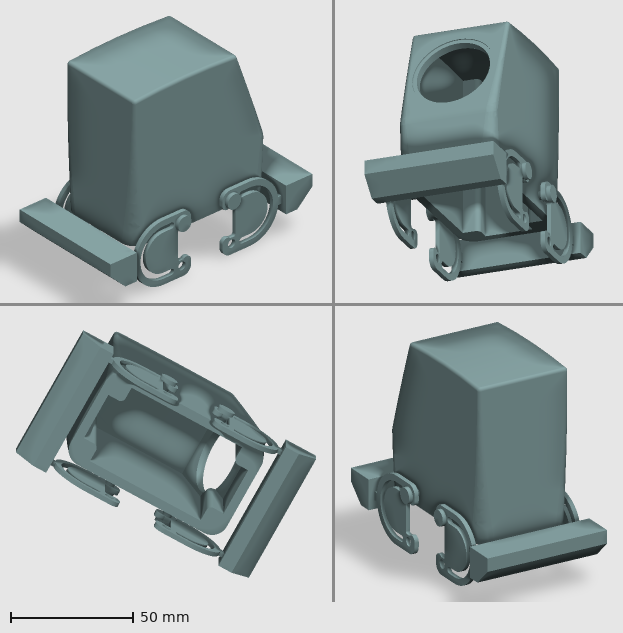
import cadquery as cq
import math

HOOD_WIDTH = 42.8
HOOD_LENGTH = 73.0
HOOD_HEIGHT = 71.6
WALL = 3.8
DRAFT_ANGLE = 0.8
SLOPE_ANGLE = 20
KINK_HEIGHT = 26.2
KINK_RADIUS = 9.2
CROWN_RADIUS = 327
CROWN_Y = -6.3
TOP_RADIUS = 1.4
BOTTOM_CORNER_RADIUS = 6.9

POST_X = 10.4
POST_Y = 25.8
POST_RADIUS = 2.2

ENTRY_HEIGHT = 48.1
ENTRY_RADIUS = 16.0
ENTRY_SEAT_RADIUS = 17.9
ENTRY_SEAT_DEPTH = 0.4

LEVER_Z = -4.6
PLATE_OUTER_X = 25.6
PLATE_THICKNESS = 2.0
PLATE_ARC_Y = 23.2
PLATE_ARC_RADIUS = 15.5
PLATE_EDGE_Y = 15.5
PLATE_EDGE_RADIUS = 1.0
HOOK_END_Y = 8.5
HOOK_CORNER_RADIUS = 4.1
HOOK_TIP_RADIUS = 2.4
HOOK_TIP_RISE = 0.8
HOOK_WIDTH = 8.0
SLOT_RADIUS = 11.1
SLOT_WIDTH = 2.9
SLOT_END_Y = 19.1

PIN_Y = 13.4
PIN_OFFSET = 10.5
PIN_RADIUS = 2.0
PIN_HEAD_RADIUS = 3.6
PIN_HEAD_HEIGHT = 1.9

BAR_WIDTH = 57.0
BAR_OUTER_Y = 54.5
BAR_INNER_Y = 40.3
BAR_TOP = 8.0
BAR_BOTTOM = -5.8
BAR_CHAMFER_TOP = 2.0
BAR_CHAMFER_Y = 46.4
TAB_HEIGHT = 3.9

DRAFT = math.tan(math.radians(DRAFT_ANGLE))
SLOPE = math.tan(math.radians(SLOPE_ANGLE))
OVERLAP = 1.1
OVERCUT = 2.2
SELECT_MARGIN = 1.1


def corner_radius(z):
    """Radius of the upright hood corners at height z, falling off as a parabola."""
    widening = BOTTOM_CORNER_RADIUS - TOP_RADIUS
    return TOP_RADIUS + widening * (1 - z / HOOD_HEIGHT) ** 2


def front_y(z):
    return -HOOD_LENGTH / 2 + z * DRAFT


def rear_y(z):
    drafted = min(z, KINK_HEIGHT) * DRAFT
    sloped = max(z - KINK_HEIGHT, 0) * SLOPE
    return HOOD_LENGTH / 2 - drafted - sloped


def crowned_block(inset):
    """Square-cornered hood with all walls and the top moved inward by inset."""
    slope_inset = inset / math.cos(math.radians(SLOPE_ANGLE))
    kink_z = KINK_HEIGHT - (slope_inset - inset) / (SLOPE - DRAFT)
    block = (
        cq.Workplane("YZ")
        .polyline([
            (front_y(0) + inset, 0),
            (rear_y(0) - inset, 0),
            (rear_y(kink_z) - inset, kink_z),
            (rear_y(HOOD_HEIGHT) - slope_inset, HOOD_HEIGHT),
            (front_y(HOOD_HEIGHT) + inset, HOOD_HEIGHT),
        ])
        .close()
        .extrude(HOOD_WIDTH / 2 - inset, both=True)
    )
    crown = (
        cq.Workplane("YZ", origin=(0, CROWN_Y, HOOD_HEIGHT - CROWN_RADIUS))
        .circle(CROWN_RADIUS - inset)
        .extrude(HOOD_WIDTH, both=True)
    )
    return block.intersect(crown)


def corner_section(z, wall_y, x_sign, y_sign):
    """Level outline of the waste outside one rounded corner at height z."""
    radius = corner_radius(z)
    side_x = x_sign * HOOD_WIDTH / 2
    centre_x = side_x - x_sign * radius
    centre_y = wall_y - y_sign * radius
    diagonal = radius * math.sqrt(0.5)
    past_x = side_x + x_sign * OVERCUT
    past_y = wall_y + y_sign * OVERCUT
    outline = (
        cq.Workplane("XY", origin=(0, 0, z))
        .moveTo(side_x, centre_y)
        .threePointArc(
            (centre_x + x_sign * diagonal, centre_y + y_sign * diagonal),
            (centre_x, wall_y),
        )
        .lineTo(centre_x, past_y)
        .lineTo(past_x, past_y)
        .lineTo(past_x, centre_y)
        .close()
    )
    return outline.val()


def corner_cutter(wall, low, high, x_sign, y_sign):
    heights = (low, (low + high) / 2, high)
    sections = [corner_section(z, wall(z), x_sign, y_sign) for z in heights]
    return cq.Solid.makeLoft(sections)


def rounded_hood():
    body = crowned_block(0)
    for x_sign in (-1, 1):
        body = body.cut(cq.Workplane(corner_cutter(front_y, 0, HOOD_HEIGHT, x_sign, -1)))
        body = body.cut(cq.Workplane(corner_cutter(rear_y, 0, KINK_HEIGHT, x_sign, 1)))
        body = body.cut(cq.Workplane(corner_cutter(rear_y, KINK_HEIGHT, HOOD_HEIGHT, x_sign, 1)))

    kink_edges = cq.selectors.BoxSelector(
        (-HOOD_WIDTH, 0, KINK_HEIGHT - SELECT_MARGIN),
        (HOOD_WIDTH, HOOD_LENGTH, KINK_HEIGHT + SELECT_MARGIN),
    )
    body = body.edges(kink_edges).fillet(KINK_RADIUS)

    top_edges = cq.selectors.BoxSelector(
        (-HOOD_WIDTH, -HOOD_LENGTH, HOOD_HEIGHT - 2 * TOP_RADIUS),
        (HOOD_WIDTH, HOOD_LENGTH, HOOD_HEIGHT + TOP_RADIUS),
    )
    return body.edges(top_edges).fillet(TOP_RADIUS)


def cavity():
    """Space inside the hood, leaving a post in each corner."""
    space = crowned_block(WALL)
    post = (
        cq.Workplane("XY")
        .box(HOOD_WIDTH, HOOD_LENGTH, HOOD_HEIGHT, centered=False)
        .edges("|Z and <X and <Y")
        .fillet(POST_RADIUS)
        .translate((POST_X, POST_Y, 0))
    )
    rear_posts = post.union(post.mirror("YZ"))
    return space.cut(rear_posts).cut(rear_posts.mirror("XZ"))


def cable_entry():
    """Stepped round cutter square to the sloped wall."""
    slope = math.radians(SLOPE_ANGLE)
    face = cq.Plane(
        origin=(0, rear_y(ENTRY_HEIGHT), ENTRY_HEIGHT),
        xDir=(1, 0, 0),
        normal=(0, math.cos(slope), math.sin(slope)),
    )
    seat = cq.Workplane(face).circle(ENTRY_SEAT_RADIUS).extrude(-ENTRY_SEAT_DEPTH)
    bore_depth = HOOD_LENGTH / 2
    return seat.union(cq.Workplane(face).circle(ENTRY_RADIUS).extrude(-bore_depth))


def plate_outline(plane):
    """Lever plate: a round outer end and two mirrored hooks facing each other."""
    side = PLATE_ARC_RADIUS
    floor = side - HOOK_WIDTH
    tip_z = floor - HOOK_TIP_RISE + HOOK_TIP_RADIUS
    tip_y = HOOK_END_Y + HOOK_TIP_RADIUS
    tip_start_y = tip_y + math.sqrt(HOOK_TIP_RADIUS ** 2 - (tip_z - floor) ** 2)
    edge_start_y = PLATE_EDGE_Y - PLATE_EDGE_RADIUS
    edge_bow = PLATE_EDGE_RADIUS * (1 - math.sqrt(0.5))
    corner_bow = HOOK_CORNER_RADIUS * (1 - math.sqrt(0.5))
    return (
        plane
        .moveTo(PLATE_EDGE_Y, 0)
        .lineTo(PLATE_EDGE_Y, floor - PLATE_EDGE_RADIUS)
        .threePointArc((PLATE_EDGE_Y - edge_bow, floor - edge_bow), (edge_start_y, floor))
        .lineTo(tip_start_y, floor)
        .threePointArc((tip_y, tip_z - HOOK_TIP_RADIUS), (HOOK_END_Y, tip_z))
        .lineTo(HOOK_END_Y, side - HOOK_CORNER_RADIUS)
        .threePointArc(
            (HOOK_END_Y + corner_bow, side - corner_bow),
            (HOOK_END_Y + HOOK_CORNER_RADIUS, side),
        )
        .lineTo(PLATE_ARC_Y, side)
        .threePointArc(
            (PLATE_ARC_Y + side * math.sqrt(0.5), side * math.sqrt(0.5)),
            (PLATE_ARC_Y + side, 0),
        )
        .close()
    )


def slot_outline(plane):
    """C-shaped slot following the plate's round end."""
    outer = SLOT_RADIUS + SLOT_WIDTH / 2
    inner = SLOT_RADIUS - SLOT_WIDTH / 2
    end_y = SLOT_END_Y - SLOT_WIDTH / 2
    return (
        plane
        .moveTo(SLOT_END_Y, outer)
        .lineTo(PLATE_ARC_Y, outer)
        .threePointArc((PLATE_ARC_Y + outer, 0), (PLATE_ARC_Y, -outer))
        .lineTo(SLOT_END_Y, -outer)
        .threePointArc((end_y, -SLOT_RADIUS), (SLOT_END_Y, -inner))
        .lineTo(PLATE_ARC_Y, -inner)
        .threePointArc((PLATE_ARC_Y + inner, 0), (PLATE_ARC_Y, inner))
        .lineTo(SLOT_END_Y, inner)
        .threePointArc((end_y, SLOT_RADIUS), (SLOT_END_Y, outer))
        .close()
    )


def lever_plane(x):
    """Upright plane at x with its origin level with the levers' line of symmetry."""
    return cq.Workplane("YZ", origin=(x, 0, LEVER_Z))


def lever_side():
    """Plate, neck and pin on the +X side of the rear lever."""
    plane = lever_plane(PLATE_OUTER_X - PLATE_THICKNESS)
    upper_half = plate_outline(plane).extrude(PLATE_THICKNESS)
    plate = upper_half.union(upper_half.mirror("XY", (0, 0, LEVER_Z)))

    tab_start = PLATE_ARC_Y + PLATE_ARC_RADIUS - OVERLAP
    tab_end = BAR_INNER_Y + OVERLAP
    tab = (
        plane.center((tab_start + tab_end) / 2, 0)
        .rect(tab_end - tab_start, TAB_HEIGHT)
        .extrude(PLATE_THICKNESS)
    )
    free_hole = plane.center(PIN_Y, -PIN_OFFSET).circle(PIN_RADIUS).extrude(PLATE_THICKNESS)
    slot = slot_outline(plane).extrude(PLATE_THICKNESS)

    pin_start = HOOD_WIDTH / 2 - OVERLAP
    pin = (
        lever_plane(pin_start).center(PIN_Y, PIN_OFFSET)
        .circle(PIN_RADIUS)
        .extrude(PLATE_OUTER_X - pin_start)
    )
    head = (
        lever_plane(PLATE_OUTER_X).center(PIN_Y, PIN_OFFSET)
        .circle(PIN_HEAD_RADIUS)
        .extrude(PIN_HEAD_HEIGHT)
    )
    return plate.union(tab).cut(slot).cut(free_hole).union(pin).union(head)


def handle_bar():
    """Bar across the rear lever, chamfered below its outer face."""
    return (
        lever_plane(0)
        .polyline([
            (BAR_INNER_Y, BAR_TOP),
            (BAR_OUTER_Y, BAR_TOP),
            (BAR_OUTER_Y, BAR_CHAMFER_TOP),
            (BAR_CHAMFER_Y, BAR_BOTTOM),
            (BAR_INNER_Y, BAR_BOTTOM),
        ])
        .close()
        .extrude(BAR_WIDTH / 2, both=True)
    )


hood = rounded_hood().cut(cavity()).cut(cable_entry())
side = lever_side()
rear_lever = handle_bar().union(side).union(side.mirror("YZ"))

result = hood.union(rear_lever).union(rear_lever.mirror("XZ"))